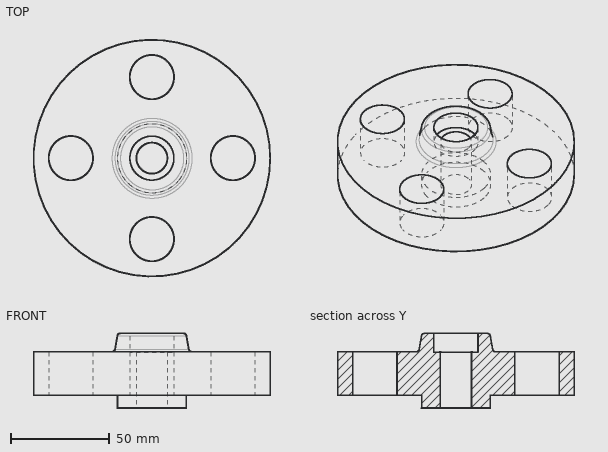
import cadquery as cq
import math

flange_diameter = 120.6
flange_thickness = 22.3

raised_face_diameter = 35.2
raised_face_height = 6.4

hub_base_diameter = 38.1
hub_height = 9.4
hub_taper_angle = 10.0
hub_edge_radius = 1.6

bore_diameter = 15.7
socket_diameter = 22.4
socket_depth = 9.6

bolt_hole_count = 4
bolt_hole_diameter = 22.4
bolt_circle_diameter = 82.5

flange_bottom = raised_face_height
flange_top = flange_bottom + flange_thickness
hub_top = flange_top + hub_height


def make_body():
    """Revolve the solid profile of raised face, disc and tapered hub."""
    hub_base_radius = hub_base_diameter / 2
    hub_top_radius = hub_base_radius - hub_height * math.tan(math.radians(hub_taper_angle))
    profile = (
        cq.Workplane("XZ")
        .moveTo(0, 0)
        .lineTo(raised_face_diameter / 2, 0)
        .lineTo(raised_face_diameter / 2, flange_bottom)
        .lineTo(flange_diameter / 2, flange_bottom)
        .lineTo(flange_diameter / 2, flange_top)
        .lineTo(hub_base_radius, flange_top)
        .lineTo(hub_top_radius, hub_top)
        .lineTo(0, hub_top)
        .close()
    )
    return profile.revolve(360, (0, 0, 0), (0, 1, 0))


def round_hub(body):
    """Round the hub's top edge and fillet its base where it meets the disc."""
    hub_base_edge = cq.selectors.RadiusNthSelector(0)
    body = body.faces(">Z").edges().fillet(hub_edge_radius)
    disc_top = body.faces(cq.selectors.NearestToPointSelector((flange_diameter / 2, 0, flange_top)))
    return disc_top.edges(hub_base_edge).fillet(hub_edge_radius)


def cut_stepped_bore(body):
    """Cut the through bore and the pipe socket from the hub top."""
    return (
        body.faces(">Z")
        .workplane(origin=(0, 0, hub_top))
        .cboreHole(bore_diameter, socket_diameter, socket_depth)
    )


def cut_bolt_holes(body):
    """Cut the ring of plain bolt holes through the disc."""
    holes = (
        cq.Workplane("XY", origin=(0, 0, flange_bottom))
        .polarArray(bolt_circle_diameter / 2, 0, 360, bolt_hole_count)
        .circle(bolt_hole_diameter / 2)
        .extrude(flange_thickness)
    )
    return body.cut(holes)


result = cut_bolt_holes(cut_stepped_bore(round_hub(make_body())))